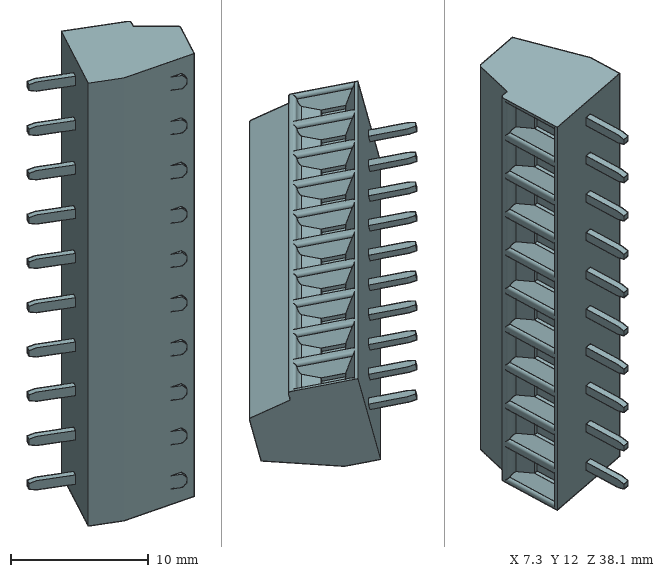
import cadquery as cq

pole_count = 10
row_length = 38.1
pole_pitch = row_length / pole_count
body_width = 7.3
body_depth = 8.5
pin_length = 3.5
left_face = -body_width / 2

shelf_y = 5.22
shelf_width = 0.72
top_start_x = 1.65
top_end_x = 5.5
slope_foot_y = 2.7
edge_radius = 0.23

mouth_height = 3.43
mouth_low_y = 0.25
mouth_high_y = 4.85
lip_radius = 0.23
lip_depth = 0.25
floor_depth = 1.15
ramp_foot_y = 3.0
ramp_head_depth = 0.72
ramp_head_y = 4.4
well_low_y = 1.2
well_height = 1.6
well_depth = 0.3

pin_thickness = 0.5
pin_height = 0.8
pin_x = -0.05
tip_length = 0.57
tip_height = 0.5
pin_root = 0.4

key_face_x = 6.1
key_top_y = 7.77
key_low_y = 5.7
key_height = 1.15
key_chamfer = 0.35


def make_housing():
    block = (
        cq.Workplane("XY", origin=(left_face, 0, -row_length / 2))
        .polyline([
            (0, 0),
            (body_width, 0),
            (body_width, slope_foot_y),
            (top_end_x, body_depth),
            (top_start_x, body_depth),
            (shelf_width, shelf_y),
            (0, shelf_y),
        ])
        .close()
        .extrude(row_length)
    )
    for x, y in [(0, shelf_y), (top_start_x, body_depth)]:
        corner = cq.selectors.NearestToPointSelector((left_face + x, y, 0))
        block = block.edges(corner).fillet(edge_radius)
    return block


def make_funnel():
    """Rounded mouth that tapers to a sloped ramp and a straight well, centred on Z = 0."""
    throat_y = mouth_high_y - lip_radius
    root_run = ramp_head_depth - lip_radius
    root_drop = throat_y - ramp_head_y
    root_radius = (root_run**2 + root_drop**2) / (2 * root_drop)
    half_mouth = mouth_height / 2
    half_throat = half_mouth - lip_radius
    half_well = well_height / 2

    floor_shape = (
        cq.Workplane("XY", origin=(left_face, 0, -half_mouth))
        .moveTo(0, mouth_low_y)
        .lineTo(floor_depth, well_low_y)
        .lineTo(floor_depth, ramp_foot_y)
        .lineTo(ramp_head_depth, ramp_head_y)
        .radiusArc((lip_radius, throat_y), -root_radius)
        .radiusArc((0, mouth_high_y), lip_radius)
        .close()
        .extrude(mouth_height)
    )

    wall_shape = (
        cq.Workplane("XZ", origin=(left_face, mouth_high_y, 0))
        .moveTo(0, -half_mouth)
        .radiusArc((lip_radius, -half_throat), lip_radius)
        .lineTo(lip_depth, -half_throat)
        .lineTo(floor_depth, -half_well)
        .lineTo(floor_depth, half_well)
        .lineTo(lip_depth, half_throat)
        .lineTo(lip_radius, half_throat)
        .radiusArc((0, half_mouth), lip_radius)
        .close()
        .extrude(mouth_high_y - mouth_low_y)
    )

    well = (
        cq.Workplane("XY", origin=(left_face, well_low_y, 0))
        .box(floor_depth + well_depth, ramp_foot_y - well_low_y, well_height, centered=(False, False, True))
    )
    return floor_shape.intersect(wall_shape).union(well)


def make_pin():
    """Flat pin below the housing with a tapered tip, centred on Z = 0."""
    shoulder_y = tip_length - pin_length
    return (
        cq.Workplane("YZ", origin=(pin_x - pin_thickness / 2, 0, 0))
        .polyline([
            (pin_root, pin_height / 2),
            (shoulder_y, pin_height / 2),
            (-pin_length, tip_height / 2),
            (-pin_length, -tip_height / 2),
            (shoulder_y, -pin_height / 2),
            (pin_root, -pin_height / 2),
        ])
        .close()
        .extrude(pin_thickness)
    )


def make_key():
    """Block rooted in the slope, with its two upper corners bevelled, centred on Z = 0."""
    root_x = body_width / 2
    return (
        cq.Workplane("XY", origin=(left_face + root_x, key_low_y, 0))
        .box(key_face_x - root_x, key_top_y - key_low_y, key_height, centered=(False, False, True))
        .edges("|X and >Y")
        .chamfer(key_chamfer)
    )


result = make_housing()
for pole in range(pole_count):
    pole_centre = (0, 0, (pole + 0.5) * pole_pitch - row_length / 2)
    result = result.cut(make_funnel().translate(pole_centre))
    result = result.union(make_pin().translate(pole_centre))
    result = result.union(make_key().translate(pole_centre))